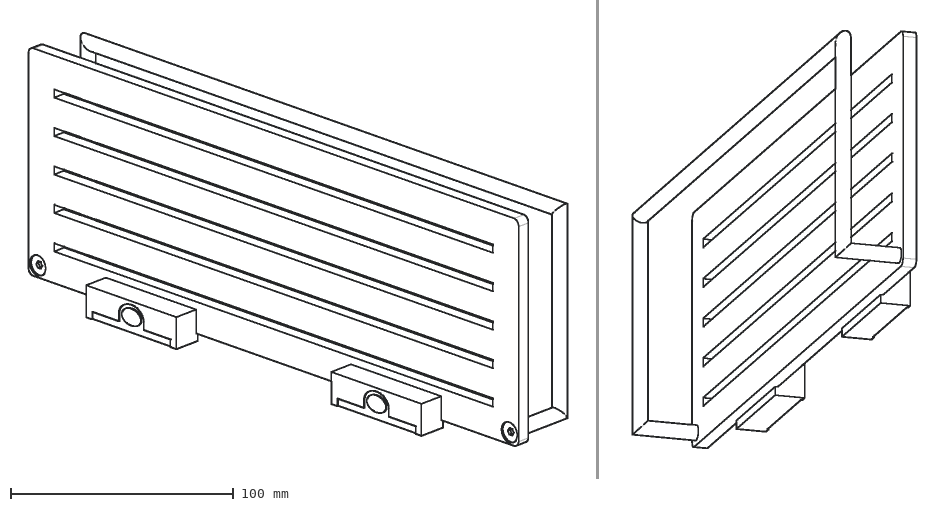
import cadquery as cq

PLATE_LENGTH = 304.8
PLATE_HEIGHT = 110.0
PLATE_THICKNESS = 6.5
CORNER_RADIUS = 3.0

SLOT_COUNT = 5
SLOT_LENGTH = 272.8
SLOT_HEIGHT = 4.0
SLOT_PITCH = 18.5
TOP_SLOT_DROP = 18.3

RAIL_DIAMETER = 7.0
RAIL_INSET = 5.8
RAIL_GAP = 23.0

SEAT_DIAMETER = 9.8
SEAT_DEPTH = 1.0
SOCKET_DIAMETER = 3.7
SOCKET_DEPTH = 2.5

BLOCK_LENGTH = 56.0
BLOCK_HEIGHT = 15.5
BLOCK_PROJECTION = 12.8
BLOCK_EMBED = 1.2
BLOCK_DROP = 4.0
BLOCK_SPACING = 152.5

RECESS_DEPTH = 0.5
RECESS_END_MARGIN = 3.7
RECESS_HEIGHT = 3.7
BUTTON_WIDTH = 12.0
BUTTON_HEIGHT = 8.2
BUTTON_MARGIN = 1.8

SIDES = (-1, 1)
RAIL_X = PLATE_LENGTH / 2 - RAIL_INSET


def make_plate():
    plate = (
        cq.Workplane("XY")
        .box(PLATE_LENGTH, PLATE_THICKNESS, PLATE_HEIGHT, centered=(True, False, False))
        .edges("|Y")
        .fillet(CORNER_RADIUS)
    )
    for index in range(SLOT_COUNT):
        slot_z = PLATE_HEIGHT - TOP_SLOT_DROP - index * SLOT_PITCH
        slot = cq.Workplane("XY").box(SLOT_LENGTH, PLATE_THICKNESS, SLOT_HEIGHT)
        plate = plate.cut(slot.translate((0, PLATE_THICKNESS / 2, slot_z)))
    return plate


def make_rail():
    """Two legs, two uprights and a crossbar, joined by mitred corners."""
    start_y = PLATE_THICKNESS / 2
    rail_y = PLATE_THICKNESS + RAIL_GAP + RAIL_DIAMETER / 2
    low_z = RAIL_INSET
    high_z = PLATE_HEIGHT - RAIL_INSET
    path = cq.Workplane("XY").polyline([
        (-RAIL_X, start_y, low_z),
        (-RAIL_X, rail_y, low_z),
        (-RAIL_X, rail_y, high_z),
        (RAIL_X, rail_y, high_z),
        (RAIL_X, rail_y, low_z),
        (RAIL_X, start_y, low_z),
    ])
    return (
        cq.Workplane("XZ", origin=(-RAIL_X, start_y, low_z))
        .circle(RAIL_DIAMETER / 2)
        .sweep(path, transition="right")
    )


def make_screw_seats():
    """Round seats with a hexagonal socket, cut into the front face."""
    front = cq.Workplane("XZ").pushPoints([(side * RAIL_X, RAIL_INSET) for side in SIDES])
    seats = front.circle(SEAT_DIAMETER / 2).extrude(-SEAT_DEPTH)
    sockets = front.polygon(6, SOCKET_DIAMETER).extrude(-SOCKET_DEPTH)
    return seats.union(sockets)


def make_block():
    """One block centred on x = 0."""
    block = cq.Workplane("XY", origin=(0, -BLOCK_PROJECTION, -BLOCK_DROP)).box(
        BLOCK_LENGTH, BLOCK_PROJECTION + BLOCK_EMBED, BLOCK_HEIGHT, centered=(True, False, False)
    )
    recess_top = RECESS_HEIGHT - BLOCK_DROP
    button_z = recess_top + BUTTON_HEIGHT / 2
    arch_x = BUTTON_WIDTH / 2 + BUTTON_MARGIN
    arch_z = BUTTON_HEIGHT / 2 + BUTTON_MARGIN
    foot_x = BLOCK_LENGTH / 2 - RECESS_END_MARGIN

    face = cq.Workplane("XZ", origin=(0, -BLOCK_PROJECTION, 0))
    recess = (
        face.moveTo(-foot_x, -BLOCK_DROP)
        .lineTo(-foot_x, recess_top)
        .lineTo(-arch_x, recess_top)
        .lineTo(-arch_x, button_z)
        .ellipseArc(arch_x, arch_z, 0, 180, sense=-1)
        .lineTo(arch_x, recess_top)
        .lineTo(foot_x, recess_top)
        .lineTo(foot_x, -BLOCK_DROP)
        .close()
        .extrude(-RECESS_DEPTH)
    )
    button = (
        face.center(0, button_z)
        .ellipse(BUTTON_WIDTH / 2, BUTTON_HEIGHT / 2)
        .extrude(-RECESS_DEPTH)
    )
    return block.cut(recess.cut(button))


result = make_plate().union(make_rail()).cut(make_screw_seats())
for side in SIDES:
    result = result.union(make_block().translate((side * BLOCK_SPACING / 2, 0, 0)))